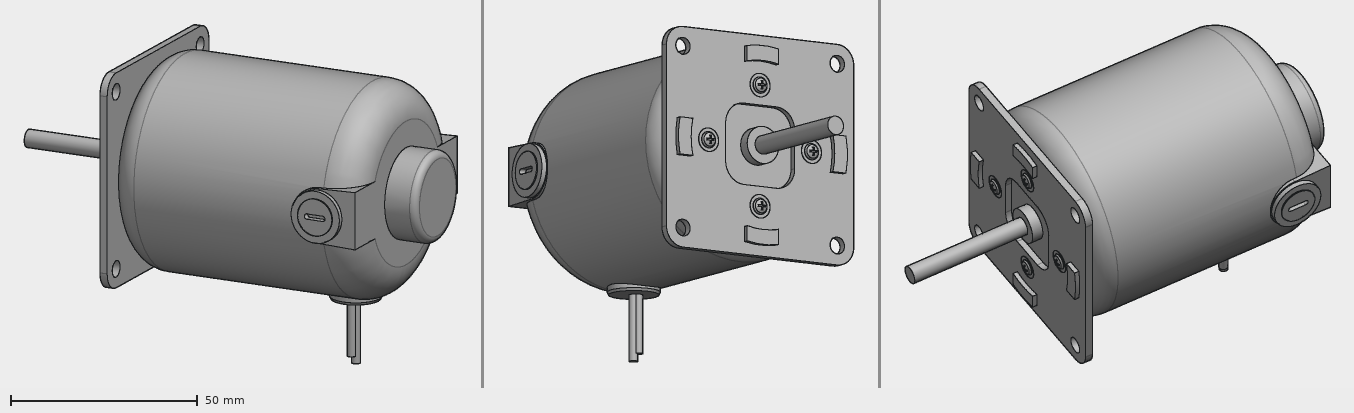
import cadquery as cq


bearing_front = 35.4
plate_front = 36.8
plate_thickness = 2.2
can_front = 39.5
can_rear = 113.5
overall_length = 123.0

plate_side = 60.0
plate_corner_radius = 5.3
mount_hole_offset = 24.7
mount_hole_diameter = 4.5
recess_side = 22.1
recess_corner_radius = 5.9
recess_depth = 1.8
bearing_diameter = 10.1
lug_inner_radius = 23.0
lug_outer_radius = 27.0
lug_width = 10.1

screw_circle_radius = 16.5
screw_seat_diameter = 6.4
screw_seat_depth = 0.1
screw_head_radius = 2.2
screw_crown_radius = 1.8
screw_rim_height = 0.5
screw_head_height = 1.1
cross_length = 2.2
cross_width = 0.5
cross_depth = 0.6

can_radius = plate_side / 2
can_front_fillet = 7.5
can_rear_fillet = 10.0
shaft_diameter = 5.0
rear_boss_radius = 12.7
rear_boss_fillet = 2.0

brush_x = 102.3
brush_pad_radius = 7.6
brush_pad_end_half_height = 8.0
brush_pad_y = 30.1
brush_pad_depth = 12.3
brush_cap_radius = 7.3
brush_cap_y = 31.6
brush_crown_radius = 5.2
brush_top_y = 32.0
brush_slot_length = 6.2
brush_slot_width = 1.5
brush_slot_depth = 2.0

grommet_x = 98.4
grommet_radius = 7.1
grommet_bottom_z = -31.4
grommet_height = 3.7
grommet_chamfer_height = 0.7
grommet_chamfer_width = 0.4
wire_diameter = 2.5
wire_embedding = 1.2
wire_top_z = grommet_bottom_z + wire_embedding
long_wire = (98.4, 0.1, -49.5)
short_wire = (97.7, -1.0, -47.4)

QUARTER_TURNS = (0, 90, 180, 270)


def yz_plane(x):
    """Sketch plane at station x, facing +X, with local axes along Y and Z."""
    return cq.Workplane("YZ", origin=(x, 0, 0))


def around_axis(shape, angle):
    return shape.rotate((0, 0, 0), (1, 0, 0), angle)


def make_lug():
    """Arc-shaped raised pad above the bearing, on the plate face."""
    height = plate_front - bearing_front
    ring = yz_plane(bearing_front).circle(lug_outer_radius).circle(lug_inner_radius).extrude(height)
    window = yz_plane(bearing_front).center(0, lug_outer_radius / 2).rect(lug_width, lug_outer_radius)
    return ring.intersect(window.extrude(height))


def make_screw_seat():
    """Round recess around one screw head."""
    seat = yz_plane(plate_front).center(0, screw_circle_radius)
    return seat.circle(screw_seat_diameter / 2).extrude(screw_seat_depth)


def make_screw_head():
    """Domed cross-recess screw head on the upper side of the plate."""
    rim_x = plate_front - screw_rim_height
    top_x = plate_front - screw_head_height
    base_x = plate_front + screw_seat_depth
    crown_mid = (rim_x + 0.75 * (top_x - rim_x), screw_crown_radius / 2)
    head = (
        cq.Workplane("XY")
        .moveTo(base_x, 0)
        .lineTo(base_x, screw_head_radius)
        .lineTo(plate_front, screw_head_radius)
        .lineTo(rim_x, screw_crown_radius)
        .threePointArc(crown_mid, (top_x, 0))
        .close()
        .revolve(360, (0, 0, 0), (1, 0, 0))
    )
    for size in ((cross_length, cross_width), (cross_width, cross_length)):
        head = head.cut(yz_plane(top_x).rect(*size).extrude(cross_depth))
    return head.translate((0, 0, screw_circle_radius))


def make_front_plate():
    """Square plate with its holes, bearing, lugs and screw heads, bored for the shaft."""
    plate = yz_plane(plate_front).rect(plate_side, plate_side).extrude(plate_thickness)
    plate = plate.edges("|X").fillet(plate_corner_radius)

    hole_spacing = 2 * mount_hole_offset
    holes = yz_plane(plate_front).rect(hole_spacing, hole_spacing, forConstruction=True).vertices()
    plate = plate.cut(holes.circle(mount_hole_diameter / 2).extrude(plate_thickness))

    recess = yz_plane(plate_front).rect(recess_side, recess_side).extrude(recess_depth)
    plate = plate.cut(recess.edges("|X").fillet(recess_corner_radius))

    bearing_length = plate_front + recess_depth - bearing_front
    plate = plate.union(yz_plane(bearing_front).circle(bearing_diameter / 2).extrude(bearing_length))

    for angle in QUARTER_TURNS:
        plate = plate.union(around_axis(make_lug(), angle))
        plate = plate.cut(around_axis(make_screw_seat(), angle))
        plate = plate.union(around_axis(make_screw_head(), angle))

    shaft_hole = yz_plane(0).circle(shaft_diameter / 2).extrude(can_front)
    return plate.cut(shaft_hole)


def make_can():
    """Rounded can with the shaft in front and the boss at the rear."""
    can = yz_plane(can_front).circle(can_radius).extrude(can_rear - can_front)
    can = can.faces("<X").edges().fillet(can_front_fillet)
    can = can.faces(">X").edges().fillet(can_rear_fillet)
    boss = yz_plane(can_rear).circle(rear_boss_radius).extrude(overall_length - can_rear)
    boss = boss.faces(">X").edges().fillet(rear_boss_fillet)
    shaft = yz_plane(0).circle(shaft_diameter / 2).extrude(can_front)
    return can.union(boss).union(shaft)


def brush_plane(y):
    """Sketch plane on the brush axis at the given y, facing -Y."""
    return cq.Workplane("XZ", origin=(brush_x, y, 0))


def make_brush_holder():
    """Brush holder on the -Y side: pad, stepped round cap and screwdriver slot."""
    pad_length = can_rear - brush_x
    pad_root = brush_plane(-brush_pad_y + brush_pad_depth)
    holder = (
        pad_root
        .moveTo(0, -brush_pad_radius)
        .threePointArc((-brush_pad_radius, 0), (0, brush_pad_radius))
        .lineTo(pad_length, brush_pad_end_half_height)
        .lineTo(pad_length, -brush_pad_end_half_height)
        .close()
        .extrude(brush_pad_depth)
    )
    cap = brush_plane(-brush_pad_y).circle(brush_cap_radius).extrude(brush_cap_y - brush_pad_y)
    crown = brush_plane(-brush_cap_y).circle(brush_crown_radius).extrude(brush_top_y - brush_cap_y)
    slot = brush_plane(-brush_top_y).slot2D(brush_slot_length, brush_slot_width).extrude(-brush_slot_depth)
    return holder.union(cap).union(crown).cut(slot)


def make_wire(x, y, bottom_z):
    wire = cq.Workplane("XY", origin=(x, y, bottom_z)).circle(wire_diameter / 2)
    return wire.extrude(wire_top_z - bottom_z)


def make_cable_outlet():
    """Round grommet with the two wires that hang from it."""
    outlet = cq.Workplane("XY", origin=(grommet_x, 0, grommet_bottom_z))
    outlet = outlet.circle(grommet_radius).extrude(grommet_height)
    outlet = outlet.faces("<Z").edges().chamfer(grommet_chamfer_height, grommet_chamfer_width)
    for wire in (long_wire, short_wire):
        outlet = outlet.union(make_wire(*wire))
    return outlet


def make_motor():
    """Can and shaft with the cable outlet and both brush holders."""
    brush_holder = make_brush_holder()
    motor = make_can().union(make_cable_outlet())
    return motor.union(brush_holder).union(brush_holder.mirror("XZ"))


front_plate = make_front_plate()
motor = make_motor()

result = cq.Compound.makeCompound([front_plate.val(), motor.val()])